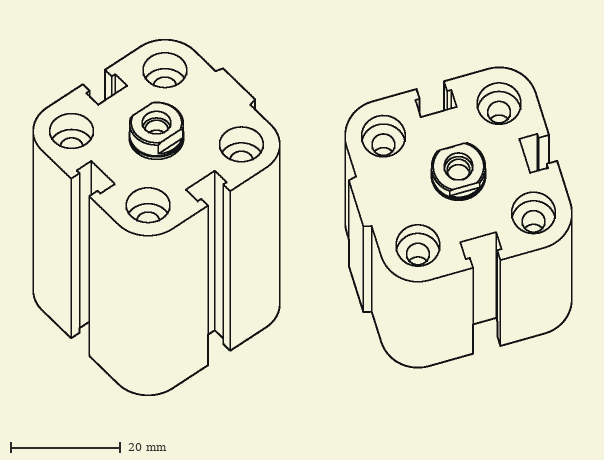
import cadquery as cq

overall_height = 52.5
side = 36.0
body_height = 48.0
corner_radius = 7.0

tab_base_width = 10.0
tab_tip_width = 9.25
tab_height = 1.45

slot_mouth_width = 5.2
slot_inner_width = 6.8
slot_lip = 2.0
slot_depth = 5.4
slot_angles = (-90, 0, 90)

hole_spacing = 22.0
counterbore_diameter = 8.0
counterbore_depth = 4.8
hole_diameter = 4.15
hole_depth = 12.4

rod_diameter = 10.0
rod_insertion = 12.4
rod_shoulder_height = 0.75
rod_taper_height = 0.2
rod_tip_diameter = 9.8
rod_tip_chamfer = 0.3
flat_distance = 8.0
flat_height = 3.0
rod_bore_diameter = 5.2
rod_bore_depth = 2.0
rod_pilot_diameter = 4.15
rod_pilot_depth = 5.0

half_side = side / 2
rod_bottom = body_height - rod_insertion
shoulder_top = body_height + rod_shoulder_height


def make_tab():
    """Trapezoidal rib on the +Y side, running the full body height."""
    return (
        cq.Workplane("XY")
        .polyline([
            (-tab_base_width / 2, 0),
            (tab_base_width / 2, 0),
            (tab_base_width / 2, half_side),
            (tab_tip_width / 2, half_side + tab_height),
            (-tab_tip_width / 2, half_side + tab_height),
            (-tab_base_width / 2, half_side),
        ])
        .close()
        .extrude(body_height)
    )


def make_slot():
    """T-slot cutter for the -Y side: a narrow mouth and a wider inner channel."""
    inner_length = slot_depth - slot_lip
    mouth = cq.Workplane("XY").box(slot_mouth_width, slot_depth, body_height, centered=(True, False, False))
    channel = cq.Workplane("XY").box(slot_inner_width, inner_length, body_height, centered=(True, False, False))
    return mouth.union(channel.translate((0, slot_lip, 0))).translate((0, -half_side, 0))


def make_housing():
    """Cylinder housing with tab, T-slots, corner holes and the rod hole."""
    housing = (
        cq.Workplane("XY")
        .rect(side, side)
        .extrude(body_height)
        .edges("|Z")
        .fillet(corner_radius)
        .union(make_tab())
    )
    for angle in slot_angles:
        housing = housing.cut(make_slot().rotate((0, 0, 0), (0, 0, 1), angle))

    top = cq.Workplane("XY").workplane(offset=body_height)
    corners = top.rect(hole_spacing, hole_spacing, forConstruction=True).vertices()
    housing = housing.cut(corners.circle(counterbore_diameter / 2).extrude(-counterbore_depth))
    housing = housing.cut(corners.circle(hole_diameter / 2).extrude(-hole_depth))
    return housing.cut(top.circle(rod_diameter / 2).extrude(-rod_insertion))


def make_rod():
    """Piston rod with a turned tip, two wrench flats and a stepped bore in its end."""
    rod_radius = rod_diameter / 2
    tip_radius = rod_tip_diameter / 2
    rod = (
        cq.Workplane("XZ")
        .polyline([
            (0, rod_bottom),
            (rod_radius, rod_bottom),
            (rod_radius, shoulder_top),
            (tip_radius, shoulder_top + rod_taper_height),
            (tip_radius, overall_height - rod_tip_chamfer),
            (tip_radius - rod_tip_chamfer, overall_height),
            (0, overall_height),
        ])
        .close()
        .revolve(360, (0, 0, 0), (0, 1, 0))
    )

    rod_end = cq.Workplane("XY").workplane(offset=overall_height)
    flats = rod_end.rect(rod_diameter, rod_diameter).rect(flat_distance, rod_diameter).extrude(-flat_height)
    rod = rod.cut(flats)
    rod = rod.cut(rod_end.circle(rod_bore_diameter / 2).extrude(-rod_bore_depth))
    return rod.cut(rod_end.circle(rod_pilot_diameter / 2).extrude(-rod_pilot_depth))


housing = make_housing()
rod = make_rod()

result = cq.Compound.makeCompound([housing.val(), rod.val()])